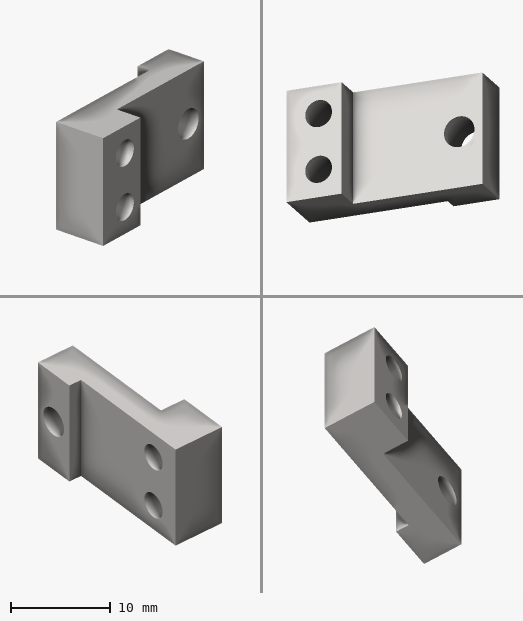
import cadquery as cq

length = 20.0
height = 12.0

web_thickness = 3.0
pad_projection = 1.5
pad_length = 5.0
block_projection = 3.0
block_length = 6.0

pad_hole_diameter = 3.3
block_hole_diameter = 2.9
block_hole_end_distance = 3.5
block_hole_spacing = 6.0

web_left = pad_projection
web_right = web_left + web_thickness
width = web_right + block_projection
pad_hole_y = length - pad_length / 2
mid_height = height / 2


def stepped_body():
    """Z-shaped profile extruded over the full height."""
    outline = [
        (web_left, 0),
        (width, 0),
        (width, block_length),
        (web_right, block_length),
        (web_right, length),
        (0, length),
        (0, length - pad_length),
        (web_left, length - pad_length),
    ]
    return cq.Workplane("XY").polyline(outline).close().extrude(height)


def through_holes(diameter, y, z_positions):
    """Round cutters along X, spanning the full width."""
    centers = [(y, z) for z in z_positions]
    return cq.Workplane("YZ").pushPoints(centers).circle(diameter / 2).extrude(width)


block_hole_heights = [mid_height + side * block_hole_spacing / 2 for side in (-1, 1)]

result = (
    stepped_body()
    .cut(through_holes(pad_hole_diameter, pad_hole_y, [mid_height]))
    .cut(through_holes(block_hole_diameter, block_hole_end_distance, block_hole_heights))
)